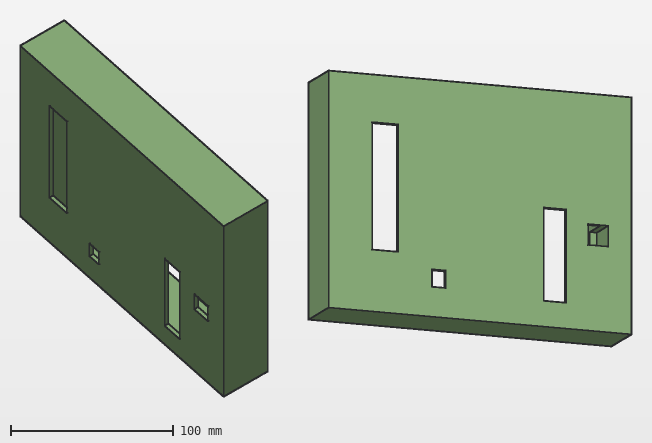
import cadquery as cq

length = 200.0
depth = 35.0
height = 150.0

front_wall = 3.0
side_wall = 20.0
end_wall = 10.0

tall_slot = (28.8, 39.2, 17.2, 80.5)
small_window = (68.2, 19.0, 9.2, 11.0)
short_slot = (142.0, 16.5, 14.8, 59.0)
square_socket = (171.2, 54.2, 13.5, 13.2)

socket_depth = 20.0


def front_cut(opening, cut_depth):
    """Rectangular block reaching back from the front face."""
    left, bottom, opening_width, opening_height = opening
    block = cq.Workplane("XY").box(opening_width, cut_depth, opening_height, centered=False)
    return block.translate((left, 0, bottom))


result = cq.Workplane("XY").box(length, depth, height, centered=False)

cavity = cq.Workplane("XY").box(
    length - 2 * side_wall,
    depth - front_wall,
    height - 2 * end_wall,
    centered=False,
)
result = result.cut(cavity.translate((side_wall, front_wall, end_wall)))

for opening in (tall_slot, small_window, short_slot):
    result = result.cut(front_cut(opening, front_wall))

result = result.cut(front_cut(square_socket, socket_depth))